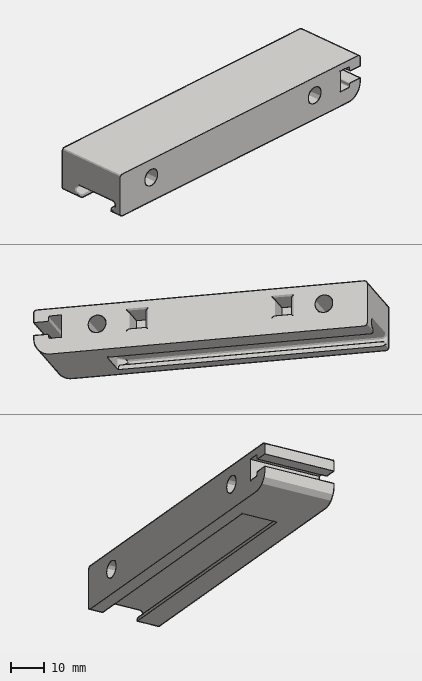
import cadquery as cq

width = 24.1
length = 104.0
height = 14.4
edge_radius = 1.0
heel_radius = 5.2
front_y = -length / 2
back_y = length / 2

hole_diameter = 5.5
hole_z = 8.2
front_hole_inset = 13.5
back_hole_inset = 19.8
square_side = 7.1
square_z = 8.5
square_depth = 8.3
square_rim_radius = 1.0
front_square_inset = 26.4
back_square_inset = 32.2
neck_bottom = 6.3
neck_top = 10.4
neck_depth = 4.7
notch_depth = 8.6
key_corner_radius = 0.5

slot_x = 1.6
slot_half_width = 8.0
slot_bottom = 1.8
slot_top = 3.8
opening_half_width = 6.0
slot_length = 83.2
slot_corner_radius = 3.0
slot_end_round = 0.7
mouth_radius = 1.0
lip_radius = 1.2


def side_prism(y0, y1, z0, z1):
    """Rectangular block running through the full bar width."""
    return cq.Workplane("XY").box(width, y1 - y0, z1 - z0).translate((0, (y0 + y1) / 2, (z0 + z1) / 2))


def bar_envelope():
    """Outer block with rounded ends and a larger radius at the lower back edge."""
    bar = side_prism(front_y, back_y, 0, height)
    bar = bar.edges("|X and >Z").fillet(edge_radius)
    bar = bar.edges("|X and <Z and <Y").fillet(edge_radius)
    return bar.edges("|X and <Z and >Y").fillet(heel_radius)


def slot_plan(top):
    """Block with the rounded blind end that limits the slot."""
    plan = (
        cq.Workplane("XY")
        .box(2 * slot_half_width, slot_length, top, centered=(True, False, False))
        .translate((slot_x, front_y, 0))
        .edges("|Z and >Y")
        .fillet(slot_corner_radius)
    )
    return plan.edges(">Z and (not <Y)").fillet(slot_end_round)


def slotted_bar():
    """Plain block with the undercut slot, its rounded lips and its flared mouth."""
    slot_middle = (slot_top + slot_bottom) / 2
    channel = (
        cq.Workplane("XZ", origin=(slot_x, front_y, slot_middle))
        .slot2D(2 * slot_half_width, slot_top - slot_bottom)
        .extrude(-slot_length)
    )
    opening = (
        cq.Workplane("XY")
        .box(2 * opening_half_width, slot_length, slot_middle, centered=(True, False, False))
        .translate((slot_x, front_y, 0))
    )
    lip_edges = cq.selectors.BoxSelector(
        (slot_x - opening_half_width - lip_radius / 2, front_y, slot_bottom - lip_radius / 2),
        (slot_x + opening_half_width + lip_radius / 2, back_y, slot_bottom + lip_radius / 2),
    )
    section = channel.union(opening).edges("|Y").edges(lip_edges).fillet(lip_radius)
    bar = side_prism(front_y, back_y, 0, height).cut(section.intersect(slot_plan(slot_top)))
    mouth = cq.selectors.BoxSelector(
        (slot_x - slot_half_width - mouth_radius, front_y - mouth_radius, mouth_radius / 10),
        (slot_x + slot_half_width + mouth_radius, front_y + mouth_radius, slot_top + mouth_radius),
    )
    return bar.edges("#Y").edges(mouth).fillet(mouth_radius)


def cross_hole(y):
    """Round hole through the full width."""
    return cq.Workplane("YZ", origin=(-width / 2, y, hole_z)).circle(hole_diameter / 2).extrude(width)


def add_square_pocket(bar, y):
    """Cut a blind pocket into the -X side and round its rim."""
    inner_side = square_side - 2 * square_rim_radius
    face = cq.Workplane("YZ", origin=(-width / 2, y, square_z))
    pocket = face.rect(inner_side, inner_side).extrude(square_depth)
    rim = cq.selectors.BoxSelector(
        (-width / 2 - square_rim_radius, y - square_side / 2, square_z - square_side / 2),
        (-width / 2 + square_rim_radius, y + square_side / 2, square_z + square_side / 2),
    )
    return bar.cut(pocket).edges("#X").edges(rim).fillet(square_rim_radius)


def keyed_notch():
    """T-shaped notch opening at the back end and running through the full width."""
    neck = side_prism(back_y - notch_depth, back_y, neck_bottom, neck_top)
    square_bottom = square_z - square_side / 2
    square_top = square_z + square_side / 2
    key = side_prism(back_y - notch_depth, back_y - neck_depth, square_bottom, square_top)
    key = key.edges("|X and >Y").fillet(key_corner_radius)
    neck_corners = cq.selectors.BoxSelector(
        (-width, back_y - neck_depth - key_corner_radius / 10, neck_bottom - key_corner_radius / 10),
        (width, back_y - neck_depth + key_corner_radius / 10, neck_top + key_corner_radius / 10),
    )
    return neck.union(key).edges("|X").edges(neck_corners).fillet(key_corner_radius)


result = slotted_bar().intersect(bar_envelope()).cut(keyed_notch())
for hole_y in (front_y + front_hole_inset, back_y - back_hole_inset):
    result = result.cut(cross_hole(hole_y))
for square_y in (front_y + front_square_inset, back_y - back_square_inset):
    result = add_square_pocket(result, square_y)